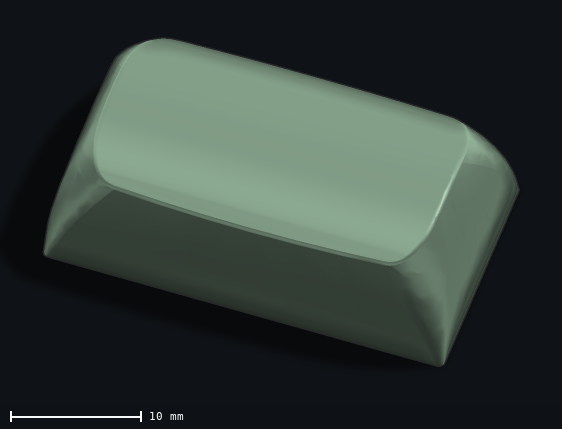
import cadquery as cq
import math

length = 32.55
width = 18.23
height = 10.88

end_straight_height = 1.92
end_wall_radius = 16.93
side_straight_height = 1.3
side_wall_radius = 21.15

base_corner_radius = 0.52
corner_growth = 0.38
base_bow = 0.015
top_side_bow = 0.25
top_end_bow = 0.15

crown_radius = 15.63
rim_fillet = 0.5

trim_margin = 0.2
loft_height = height + trim_margin
section_count = 10


def wall_inset(z, radius, straight_height):
    """Inward shift of a wall at height z."""
    rise = max(0.0, z - straight_height)
    return radius - math.sqrt(radius**2 - rise**2)


def turned(points, turn):
    """Points kept in place (turn = 1) or turned by 180 degrees about Z (turn = -1)."""
    return [(turn * x, turn * y) for x, y in points]


def section(z):
    """Bowed, rounded rectangle at height z, smooth where sides meet corners."""
    half_x = length / 2 - wall_inset(z, end_wall_radius, end_straight_height)
    half_y = width / 2 - wall_inset(z, side_wall_radius, side_straight_height)
    corner = base_corner_radius + corner_growth * z
    side_bow = base_bow + (top_side_bow - base_bow) * z / height
    end_bow = base_bow + (top_end_bow - base_bow) * z / height

    flat_x = half_x - corner
    flat_y = half_y - corner
    edge_x = half_x - end_bow
    edge_y = half_y - side_bow
    corner_inset = corner * (1 - math.sqrt(0.5))
    diagonal_x = edge_x - corner_inset
    diagonal_y = edge_y - corner_inset

    side_angle = 2 * math.atan(side_bow / flat_x)
    end_angle = 2 * math.atan(end_bow / flat_y)
    side_run = (math.cos(side_angle), math.sin(side_angle))
    end_run = (math.sin(end_angle), math.cos(end_angle))

    outline = cq.Workplane("XY", origin=(0, 0, z)).moveTo(-flat_x, -edge_y)
    for turn in (1, -1):
        side_middle, side_end = turned([(0, -half_y), (flat_x, -edge_y)], turn)
        first_corner = turned([(diagonal_x, -diagonal_y), (edge_x, -flat_y)], turn)
        first_tangents = turned([side_run, end_run], turn)
        end_middle, end_end = turned([(half_x, 0), (edge_x, flat_y)], turn)
        second_corner = turned([(diagonal_x, diagonal_y), (flat_x, edge_y)], turn)
        second_tangents = turned([(-end_run[0], end_run[1]), (-side_run[0], side_run[1])], turn)
        outline = (
            outline.threePointArc(side_middle, side_end)
            .spline(first_corner, tangents=first_tangents, includeCurrent=True)
            .threePointArc(end_middle, end_end)
            .spline(second_corner, tangents=second_tangents, includeCurrent=True)
        )
    return outline.close().val()


heights = [loft_height * i / (section_count - 1) for i in range(section_count)]
body = cq.Workplane(cq.Solid.makeLoft([section(z) for z in heights]))

crown = (
    cq.Workplane("YZ", origin=(-length / 2 - trim_margin, 0, 0))
    .center(0, height - crown_radius)
    .circle(crown_radius)
    .extrude(length + 2 * trim_margin)
)
capped = body.intersect(crown)

result = capped.faces(">Z").edges().fillet(rim_fillet)